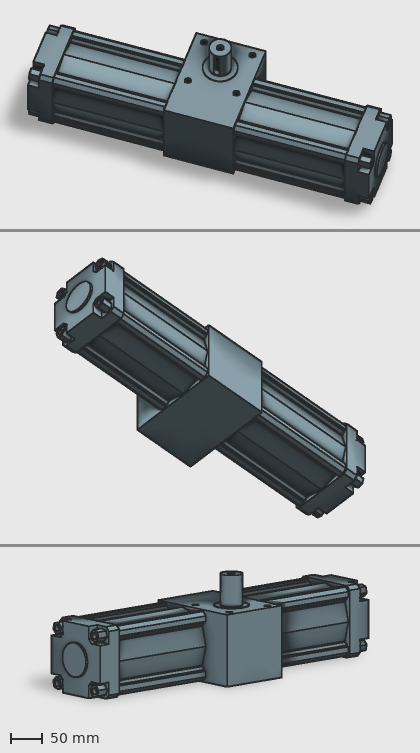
import cadquery as cq
import math

TOTAL_LENGTH = 570.0
SECTION = 115.0
HALF_SECTION = SECTION / 2

HOUSING_LENGTH = 115.0
HOUSING_DEPTH = 162.0
HOUSING_HOLE_DIAMETER = 10.0
HOUSING_HOLE_DEPTH = 20.0
HOUSING_HOLE_SPACING = 80.0

SHAFT_OFFSET = 50.5
SHAFT_DIAMETER = 35.0
SHAFT_HEIGHT = 51.0
COLLAR_DIAMETER = 55.0
COLLAR_HEIGHT = 1.0
SHAFT_HOLE_DIAMETER = 11.0
SHAFT_HOLE_DEPTH = 20.0
DRILL_POINT_ANGLE = 118.0
KEYWAY_WIDTH = 10.0
KEYWAY_LENGTH = 45.0
KEYWAY_DEPTH = 9.0
KEYWAY_TOP_GAP = 3.0

CAP_LENGTH = 40.0
CAP_CHAMFER = 6.5
DISC_DIAMETER = 55.0
DISC_HEIGHT = 3.5
POCKET_WIDTH = 27.0
POCKET_CHAMFER = 6.5
POCKET_DEPTH = 18.0

NUT_OFFSET = 44.0
HEXAGON_SIDES = 6
NUT_WIDTH = 17.0
NUT_HOLE_DIAMETER = 10.0
NUT_HOLE_DEPTH = 10.0

BARREL_HALF_WIDTH = 55.0
BARREL_CHAMFER = 6.5
RIDGE_SLOPE = 15.0
STEP_OUTER = 39.5
STEP_INNER = 37.5
LIP_INNER = 31.5
LIP_OUTER = 33.0
LIP_HEIGHT = 1.0

CAP_OUTER_X = TOTAL_LENGTH / 2 - DISC_HEIGHT
CAP_INNER_X = CAP_OUTER_X - CAP_LENGTH
POCKET_FLOOR_X = CAP_OUTER_X - POCKET_DEPTH
CORNERS = [(y * NUT_OFFSET, z * NUT_OFFSET) for y in (-1, 1) for z in (-1, 1)]


def section_plane(x):
    """Plane across the cylinder axis at x, with local axes along Y and Z."""
    return cq.Workplane("YZ", origin=(x, 0, 0))


def drilled_hole(x, y, top, diameter, depth):
    """Vertical blind hole with a conical drill point."""
    radius = diameter / 2
    point = radius / math.tan(math.radians(DRILL_POINT_ANGLE / 2))
    profile = [(0, 0), (radius, 0), (radius, -depth), (0, -depth - point)]
    hole = cq.Workplane("XZ").polyline(profile).close().revolve(360, (0, 0), (0, 1))
    return hole.translate((x, y, top))


def make_housing():
    """Rectangular block with four blind holes around the output shaft."""
    housing = cq.Workplane("XY").box(HOUSING_LENGTH, HOUSING_DEPTH, SECTION)
    housing = housing.translate((0, HOUSING_DEPTH / 2 - HALF_SECTION, 0))
    half_spacing = HOUSING_HOLE_SPACING / 2
    for x in (-half_spacing, half_spacing):
        for y in (SHAFT_OFFSET - half_spacing, SHAFT_OFFSET + half_spacing):
            housing = housing.cut(
                drilled_hole(x, y, HALF_SECTION, HOUSING_HOLE_DIAMETER, HOUSING_HOLE_DEPTH)
            )
    return housing


def make_shaft():
    """Output shaft with a thin collar, a keyway and a blind hole in its end."""
    top = HALF_SECTION + SHAFT_HEIGHT
    base = cq.Workplane("XY", origin=(0, SHAFT_OFFSET, HALF_SECTION))
    collar = base.circle(COLLAR_DIAMETER / 2).extrude(COLLAR_HEIGHT)
    shaft = base.circle(SHAFT_DIAMETER / 2).extrude(SHAFT_HEIGHT)
    keyway_front = SHAFT_OFFSET - SHAFT_DIAMETER / 2
    keyway_top = top - KEYWAY_TOP_GAP
    keyway_end_centre = keyway_top - KEYWAY_LENGTH + KEYWAY_WIDTH / 2
    keyway = (
        cq.Workplane("XZ", origin=(0, keyway_front, 0))
        .moveTo(-KEYWAY_WIDTH / 2, keyway_top)
        .lineTo(-KEYWAY_WIDTH / 2, keyway_end_centre)
        .threePointArc((0, keyway_top - KEYWAY_LENGTH), (KEYWAY_WIDTH / 2, keyway_end_centre))
        .lineTo(KEYWAY_WIDTH / 2, keyway_top)
        .close()
        .extrude(-KEYWAY_DEPTH)
    )
    shaft = shaft.cut(keyway)
    shaft = shaft.cut(drilled_hole(0, SHAFT_OFFSET, top, SHAFT_HOLE_DIAMETER, SHAFT_HOLE_DEPTH))
    return collar.union(shaft)


def make_barrel():
    """Extrusion with a low ridge along each side and a raised rib along each corner."""
    slope = math.tan(math.radians(RIDGE_SLOPE))
    lip_start = BARREL_HALF_WIDTH - slope * LIP_INNER
    lip_end = BARREL_HALF_WIDTH - slope * LIP_OUTER + LIP_HEIGHT
    step_height = lip_end + STEP_INNER - LIP_OUTER
    half_side = [
        (LIP_INNER, lip_start),
        (LIP_INNER, lip_start + LIP_HEIGHT),
        (LIP_OUTER, lip_end),
        (STEP_INNER, step_height),
        (STEP_OUTER, step_height),
        (STEP_OUTER, BARREL_HALF_WIDTH),
        (BARREL_HALF_WIDTH - BARREL_CHAMFER, BARREL_HALF_WIDTH),
    ]
    quarter = [(0, BARREL_HALF_WIDTH)] + half_side + [(z, y) for y, z in reversed(half_side)]
    outline = []
    for _ in range(4):
        outline += quarter
        quarter = [(z, -y) for y, z in quarter]
    length = CAP_INNER_X - HOUSING_LENGTH / 2
    return section_plane(HOUSING_LENGTH / 2).polyline(outline).close().extrude(length)


def make_nut(y, z):
    """Hexagonal nut with a corner pointing to the cap corner, and a bored end."""
    turn = math.degrees(math.atan2(z, y))
    across_corners = NUT_WIDTH / math.cos(math.pi / HEXAGON_SIDES)
    nut = section_plane(POCKET_FLOOR_X).polygon(HEXAGON_SIDES, across_corners).extrude(POCKET_DEPTH)
    hole = section_plane(CAP_OUTER_X).circle(NUT_HOLE_DIAMETER / 2).extrude(-NUT_HOLE_DEPTH)
    nut = nut.cut(hole)
    return nut.rotate((0, 0, 0), (1, 0, 0), turn).translate((0, y, z))


def make_nut_pocket(y, z):
    """Square pocket over one cap corner, with its inner corner cut off at 45 degrees."""
    inner = NUT_OFFSET - POCKET_WIDTH / 2
    outline = [
        (HALF_SECTION, inner),
        (inner + POCKET_CHAMFER, inner),
        (inner, inner + POCKET_CHAMFER),
        (inner, HALF_SECTION),
        (HALF_SECTION, HALF_SECTION),
    ]
    side_y = math.copysign(1, y)
    side_z = math.copysign(1, z)
    corner = [(side_y * u, side_z * v) for u, v in outline]
    return section_plane(POCKET_FLOOR_X).polyline(corner).close().extrude(POCKET_DEPTH)


def make_cap():
    """Square end cap with a raised disc and a nut in a pocket at each corner."""
    cap = section_plane(CAP_INNER_X).rect(SECTION, SECTION).extrude(CAP_LENGTH)
    cap = cap.edges("|X").chamfer(CAP_CHAMFER)
    disc = section_plane(CAP_OUTER_X).circle(DISC_DIAMETER / 2).extrude(DISC_HEIGHT)
    cap = cap.union(disc)
    for y, z in CORNERS:
        cap = cap.cut(make_nut_pocket(y, z))
        cap = cap.union(make_nut(y, z))
    return cap


arm = make_barrel().union(make_cap())
result = make_housing().union(make_shaft()).union(arm).union(arm.mirror("YZ"))